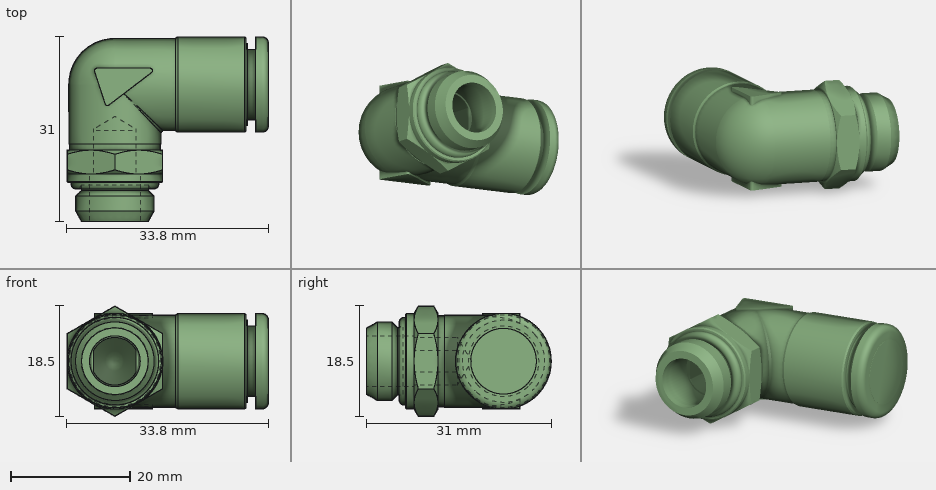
import cadquery as cq
import math


overall_length = 33.8
overall_depth = 31.0
hex_across_corners = 18.5
hex_across_flats = hex_across_corners * math.cos(math.radians(30))
sleeve_radius = 8.0

body_radius = 7.75
stem_body_length = 9.95
crease_fill_width = 0.47

collar_radius = 7.65
hex_start = 11.0
hex_end = 15.0
hex_chamfer_angle = 30.0
flange_radius = sleeve_radius
flange_end = 16.45
flange_chamfer = 0.2
seal_radius = 7.37
seal_end = 17.5
seal_section_radius = 0.88
thread_neck_radius = 5.65
thread_neck_end = 17.78
thread_radius = 6.6
thread_start = 18.73
tip_chamfer_start = 21.15
tip_radius = 5.58
stem_end = overall_depth - sleeve_radius

bore_radius = 4.25
inner_bore_radius = 4.0
inner_bore_across_flats = 7.1
inner_bore_end = body_radius
drill_point_angle = 118.0

arm_body_length = 10.15
sleeve_start = 10.58
sleeve_end = 22.0
sleeve_chamfer = 0.25
lip_radius = 6.9
lip_end = 22.2
release_neck_radius = 5.9
release_start = 23.6
release_radius = sleeve_radius
release_round = 1.1
release_face = 25.75
face_pad_radius = 5.5
arm_end = overall_length - flange_radius

marker_corners = [(-3.58, 2.75), (7.1, 2.75), (-1.45, -3.8)]
marker_corner_radius = 0.4
marker_height = sleeve_radius


def cylinder_along_stem(radius, start, end):
    """Cylinder on the stem axis between two distances from the arm axis."""
    return cq.Workplane("XZ").workplane(offset=start).circle(radius).extrude(end - start)


def make_arm():
    """Arm, sleeve and release ring, revolved about X."""
    round_middle = release_round * math.sqrt(0.5)
    round_start = release_face - release_round
    flat_radius = release_radius - release_round
    profile = (
        cq.Workplane("XY")
        .polyline([
            (0, 0),
            (0, body_radius),
            (arm_body_length, body_radius),
            (sleeve_start, sleeve_radius),
            (sleeve_end - sleeve_chamfer, sleeve_radius),
            (sleeve_end, sleeve_radius - sleeve_chamfer),
            (sleeve_end, lip_radius),
            (lip_end, lip_radius),
            (lip_end, release_neck_radius),
            (release_start, release_neck_radius),
            (release_start, release_radius),
            (round_start, release_radius),
        ])
        .threePointArc((round_start + round_middle, flat_radius + round_middle), (release_face, flat_radius))
        .lineTo(release_face, face_pad_radius)
        .lineTo(arm_end, face_pad_radius)
        .lineTo(arm_end, 0)
        .close()
    )
    return profile.revolve(360, (0, 0, 0), (1, 0, 0))


def make_stem():
    """Stem body, collar, flange and threaded end, revolved about Y."""
    profile = (
        cq.Workplane("XY")
        .polyline([
            (0, 0),
            (body_radius, 0),
            (body_radius, -stem_body_length),
            (collar_radius, -stem_body_length),
            (collar_radius, -hex_end),
            (flange_radius, -hex_end),
            (flange_radius, -flange_end + flange_chamfer),
            (flange_radius - flange_chamfer, -flange_end),
            (thread_neck_radius, -flange_end),
            (thread_neck_radius, -thread_neck_end),
            (thread_radius, -thread_start),
            (thread_radius, -tip_chamfer_start),
            (tip_radius, -stem_end),
            (0, -stem_end),
        ])
        .close()
    )
    return profile.revolve(360, (0, 0, 0), (0, 1, 0))


def make_seal():
    """Round-section sealing ring around the thread neck, seated in the flange face."""
    section = cq.Workplane("XY").center(seal_radius - seal_section_radius, -seal_end + seal_section_radius)
    axis_offset = seal_section_radius - seal_radius
    return section.circle(seal_section_radius).revolve(360, (axis_offset, 0, 0), (axis_offset, 1, 0))


def make_hex():
    """Hexagon with corners on +Z and -Z, its corners chamfered by a cone at both ends."""
    corner_radius = hex_across_corners / 2
    face_radius = hex_across_flats / 2
    chamfer_length = (corner_radius - face_radius) * math.tan(math.radians(hex_chamfer_angle))
    prism = (
        cq.Workplane("XZ")
        .workplane(offset=hex_start)
        .transformed(rotate=(0, 0, 30))
        .polygon(6, hex_across_corners)
        .extrude(hex_end - hex_start)
    )
    envelope = (
        cq.Workplane("XY")
        .polyline([
            (0, -hex_start),
            (face_radius, -hex_start),
            (corner_radius, -hex_start - chamfer_length),
            (corner_radius, -hex_end + chamfer_length),
            (face_radius, -hex_end),
            (0, -hex_end),
        ])
        .close()
        .revolve(360, (0, 0, 0), (0, 1, 0))
    )
    return prism.intersect(envelope)


def make_crease_fill():
    """Half-elliptical web on the mitre plane that blunts the inner corner of the elbow."""
    half_length = body_radius * math.sqrt(2) + crease_fill_width / 2
    mitre_plane = cq.Plane(origin=(0, 0, 0), xDir=(1, -1, 0), normal=(1, 1, 0))
    ellipse = cq.Workplane(mitre_plane).ellipse(half_length, body_radius)
    inner_half = cq.Workplane(mitre_plane).center(half_length / 2, 0)
    inner_half = inner_half.rect(half_length, 2 * body_radius).extrude(crease_fill_width / 2, both=True)
    return ellipse.extrude(crease_fill_width / 2, both=True).intersect(inner_half)


def make_markers():
    """Triangular prism through the elbow whose ends stand proud at the top and bottom."""
    prism = cq.Workplane("XY").polyline(marker_corners).close().extrude(marker_height, both=True)
    return prism.edges("|Z").fillet(marker_corner_radius)


def make_bore():
    """Blind stem bore: round mouth, narrower section with two flats, and a conical drill point."""
    mouth = cylinder_along_stem(bore_radius, hex_end, stem_end)
    point_length = inner_bore_radius / math.tan(math.radians(drill_point_angle / 2))
    inner = (
        cq.Workplane("XY")
        .polyline([
            (0, -hex_end),
            (inner_bore_radius, -hex_end),
            (inner_bore_radius, -inner_bore_end),
            (0, -inner_bore_end + point_length),
        ])
        .close()
        .revolve(360, (0, 0, 0), (0, 1, 0))
    )
    flats = cq.Workplane("XY").box(inner_bore_across_flats, 2 * stem_end, 2 * inner_bore_radius)
    return mouth.union(inner.intersect(flats))


elbow_corner = cq.Workplane("XY").sphere(body_radius)

result = (
    make_arm()
    .union(make_stem())
    .union(make_seal())
    .union(elbow_corner)
    .union(make_hex())
    .union(make_crease_fill())
    .union(make_markers())
    .cut(make_bore())
)